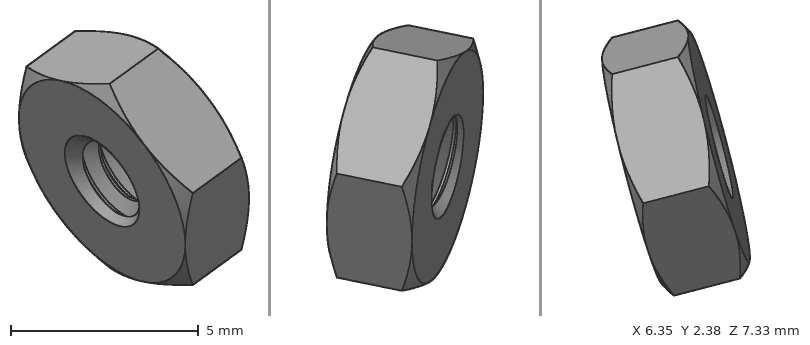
import cadquery as cq
import math

hexagon_sides = 6
across_corners = 7.33
thickness = 2.38
corner_chamfer_angle = 30.0
major_radius = 1.42
minor_radius = 1.005
countersink_angle = 45.0
pitch = 0.64
thread_flank_angle = 30.0
thread_start_angle = -125.0

corner_radius = across_corners / 2
face_radius = corner_radius * math.cos(math.pi / hexagon_sides)
corner_chamfer_depth = (corner_radius - face_radius) * math.tan(math.radians(corner_chamfer_angle))
countersink_depth = (major_radius - minor_radius) * math.tan(math.radians(countersink_angle))
root_width = pitch / 8


def hexagon_blank():
    """Hexagonal prism along Z, with corners on the Y axis and conical chamfers at both ends."""
    prism = (
        cq.Workplane("XY")
        .polygon(hexagon_sides, across_corners)
        .extrude(thickness)
        .rotate((0, 0, 0), (0, 0, 1), 90)
    )
    chamfer_envelope = (
        cq.Workplane("XZ")
        .polyline([
            (0, 0),
            (face_radius, 0),
            (corner_radius, corner_chamfer_depth),
            (corner_radius, thickness - corner_chamfer_depth),
            (face_radius, thickness),
            (0, thickness),
        ])
        .close()
        .revolve(360, (0, 0, 0), (0, 1, 0))
    )
    return prism.intersect(chamfer_envelope)


def countersunk_bore():
    """Solid filling the bore at minor diameter and the countersink at each end."""
    return (
        cq.Workplane("XZ")
        .polyline([
            (0, 0),
            (major_radius, 0),
            (minor_radius, countersink_depth),
            (minor_radius, thickness - countersink_depth),
            (major_radius, thickness),
            (0, thickness),
        ])
        .close()
        .revolve(360, (0, 0, 0), (0, 1, 0))
    )


def tapped_core():
    """Bore cylinder with a right-hand trapezoidal thread ridge, running past both end faces."""
    bore_overlap = 0.015
    runout_turns = 2
    core_margin_turns = 1
    inner_radius = minor_radius - bore_overlap
    root_half = root_width / 2
    mouth_half = root_half + (major_radius - inner_radius) * math.tan(math.radians(thread_flank_angle))
    start = root_half - runout_turns * pitch
    turns = math.ceil(thickness / pitch) + 2 * runout_turns

    def edge_helix(radius, offset):
        return cq.Wire.makeHelix(pitch, turns * pitch, radius, cq.Vector(0, 0, start + offset))

    edges = [
        edge_helix(inner_radius, -mouth_half),
        edge_helix(major_radius, -root_half),
        edge_helix(major_radius, root_half),
        edge_helix(inner_radius, mouth_half),
    ]
    sides = [cq.Face.makeRuledSurface(edges[i - 1], edges[i]) for i in range(len(edges))]
    caps = [
        cq.Face.makeFromWires(cq.Wire.makePolygon([edge.positionAt(end) for edge in edges], close=True))
        for end in (0, 1)
    ]
    ridge = cq.Solid.makeSolid(cq.Shell.makeShell(sides + caps))
    core = (
        cq.Workplane("XY")
        .workplane(offset=start - core_margin_turns * pitch)
        .circle(minor_radius)
        .extrude((turns + 2 * core_margin_turns) * pitch)
    )
    return core.union(cq.Workplane(obj=ridge)).rotate((0, 0, 0), (0, 0, 1), thread_start_angle)


nut = hexagon_blank().cut(tapped_core()).cut(countersunk_bore())

result = nut.translate((0, 0, -thickness / 2)).rotate((0, 0, 0), (1, 0, 0), -90)